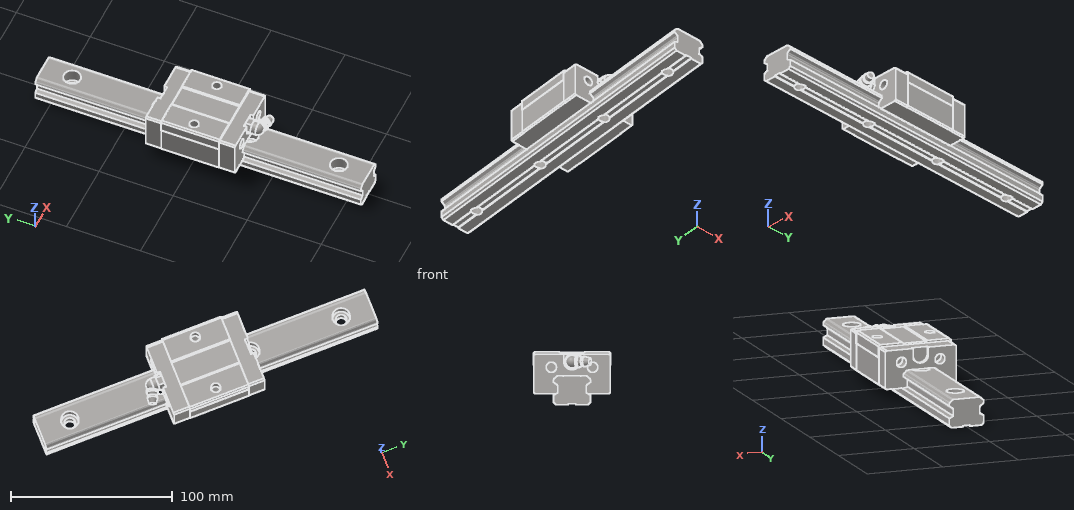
import cadquery as cq
import math


RAIL_LENGTH = 220.0
RAIL_HEIGHT = 18.0
RAIL_HALF_WIDTH = 11.5
RAIL_TOP_HALF_WIDTH = 9.0
WAIST_HALF_WIDTH = 8.8
RAIL_BOTTOM_CHAMFER = 1.5
BASE_TOP_Z = 6.2
WAIST_BOTTOM_Z = 7.5
WAIST_TOP_Z = 12.0
HEAD_LOWER_Z = 14.0
HEAD_UPPER_Z = 15.8
HEAD_FILLET = 1.0
WAIST_FILLET = 1.3
RELIEF_HALF_WIDTH = 2.2
RELIEF_DEPTH = 0.7
RAIL_HOLE_COUNT = 4
RAIL_HOLE_PITCH = 60.0
RAIL_HOLE_DIAMETER = 7.0
COUNTERBORE_DIAMETER = 11.0
COUNTERBORE_DEPTH = 9.0

OVERALL_HEIGHT = 33.0
CARRIAGE_BOTTOM_Z = 6.8
CARRIAGE_LENGTH = 60.3
BLOCK_LENGTH = 39.2
BLOCK_HALF_WIDTH = 24.0
BLOCK_CHAMFER = 1.0
SIDE_STEP_Z = 24.9
SIDE_STEP = 0.2
CAP_HALF_WIDTH = 23.5
CAP_TOP_Z = 31.5
CAP_CHAMFER_WIDTH = 1.3
CAP_CHAMFER_HEIGHT = 0.7
LOWER_CHAMFER = 0.9
PANEL_TOP_HALF_WIDTH = 8.4
PANEL_FLOOR_HALF_WIDTH = 7.5
PANEL_DEPTH = 0.5
TAPPED_HOLE_OFFSET = 17.4
TAPPED_HOLE_DIAMETER = 6.0
TAPPED_HOLE_DEPTH = 9.0
DRILL_TIP_ANGLE = 118.0
CAP_HOLE_OFFSET = 12.8
CAP_HOLE_Z = 23.3
CAP_HOLE_DIAMETER = 6.4
CAP_HOLE_DEPTH = 6.5

NIPPLE_Z = 26.8
RECESS_RADIUS = 5.0
RECESS_DEPTH = 2.0
HEX_ACROSS_CORNERS = 10.0
HEX_LENGTH = 4.0
COLLAR_RADIUS = 4.2
COLLAR_LENGTH = 3.3
BALL_RADIUS = 4.0
SPOUT_ANGLE = 20.0
SPOUT_NECK_RADIUS = 2.9
SPOUT_BARB_RADIUS = 3.7
SPOUT_TIP_BARB_RADIUS = 3.3
SPOUT_TIP_RADIUS = 2.2
BARB_START = 3.3
BARB_TAPER_START = 4.6
BARB_END = 6.5
TIP_BARB_START = 8.0
SPOUT_LENGTH = 11.9

CARRIAGE_FRONT_Y = -CARRIAGE_LENGTH / 2


def symmetric_prism(right_side, length):
    """Prism along Y, centred on the origin, from the +X half of its outline listed bottom to top."""
    left_side = [(-x, z) for x, z in reversed(right_side)]
    outline = cq.Workplane("XZ").polyline(right_side + left_side).close()
    return outline.extrude(length / 2, both=True)


def rail_blank():
    right_side = [
        (RELIEF_HALF_WIDTH, RELIEF_DEPTH),
        (RELIEF_HALF_WIDTH, 0),
        (RAIL_HALF_WIDTH - RAIL_BOTTOM_CHAMFER, 0),
        (RAIL_HALF_WIDTH, RAIL_BOTTOM_CHAMFER),
        (RAIL_HALF_WIDTH, BASE_TOP_Z),
        (WAIST_HALF_WIDTH, WAIST_BOTTOM_Z),
        (WAIST_HALF_WIDTH, WAIST_TOP_Z),
        (RAIL_HALF_WIDTH, HEAD_LOWER_Z),
        (RAIL_HALF_WIDTH, HEAD_UPPER_Z),
        (RAIL_TOP_HALF_WIDTH, RAIL_HEIGHT),
    ]
    rounded_corners = [
        (WAIST_HALF_WIDTH, WAIST_TOP_Z, WAIST_FILLET),
        (RAIL_HALF_WIDTH, HEAD_UPPER_Z, HEAD_FILLET),
        (RAIL_TOP_HALF_WIDTH, RAIL_HEIGHT, HEAD_FILLET),
    ]
    blank = symmetric_prism(right_side, RAIL_LENGTH)
    for x, z, radius in rounded_corners:
        for side in (-1, 1):
            corner_edge = cq.selectors.NearestToPointSelector((side * x, 0, z))
            blank = blank.edges("|Y").edges(corner_edge).fillet(radius)
    return blank


def make_rail():
    return (
        rail_blank()
        .faces(">Z")
        .workplane(origin=(0, 0, RAIL_HEIGHT))
        .rarray(2.2, RAIL_HOLE_PITCH, 1, RAIL_HOLE_COUNT)
        .cboreHole(RAIL_HOLE_DIAMETER, COUNTERBORE_DIAMETER, COUNTERBORE_DEPTH)
    )


def make_block():
    lower_half_width = BLOCK_HALF_WIDTH - SIDE_STEP
    right_side = [
        (lower_half_width - LOWER_CHAMFER, CARRIAGE_BOTTOM_Z),
        (lower_half_width, CARRIAGE_BOTTOM_Z + LOWER_CHAMFER),
        (lower_half_width, SIDE_STEP_Z),
        (BLOCK_HALF_WIDTH, SIDE_STEP_Z),
        (BLOCK_HALF_WIDTH, OVERALL_HEIGHT - BLOCK_CHAMFER),
        (BLOCK_HALF_WIDTH - BLOCK_CHAMFER, OVERALL_HEIGHT),
        (PANEL_TOP_HALF_WIDTH, OVERALL_HEIGHT),
        (PANEL_FLOOR_HALF_WIDTH, OVERALL_HEIGHT - PANEL_DEPTH),
    ]
    return symmetric_prism(right_side, BLOCK_LENGTH)


def make_cap_bar():
    """Bar of the end cap section, long enough to form both end caps."""
    right_side = [
        (CAP_HALF_WIDTH - LOWER_CHAMFER, CARRIAGE_BOTTOM_Z),
        (CAP_HALF_WIDTH, CARRIAGE_BOTTOM_Z + LOWER_CHAMFER),
        (CAP_HALF_WIDTH, CAP_TOP_Z - CAP_CHAMFER_HEIGHT),
        (CAP_HALF_WIDTH - CAP_CHAMFER_WIDTH, CAP_TOP_Z),
    ]
    return symmetric_prism(right_side, CARRIAGE_LENGTH)


def tapped_hole(x):
    """Blind hole with a conical drill tip, cut down from the top of the block."""
    radius = TAPPED_HOLE_DIAMETER / 2
    tip_length = radius / math.tan(math.radians(DRILL_TIP_ANGLE / 2))
    profile = [
        (0, 0),
        (-radius, 0),
        (-radius, -TAPPED_HOLE_DEPTH),
        (0, -TAPPED_HOLE_DEPTH - tip_length),
    ]
    drill = cq.Workplane("XZ").polyline(profile).close().revolve(360, (0, 0, 0), (0, 1, 0))
    return drill.translate((x, 0, OVERALL_HEIGHT))


def front_cap_cuts():
    """Nipple recess, open at the top, and the two blind holes of the front end cap."""
    face = cq.Workplane("XZ", origin=(0, CARRIAGE_FRONT_Y, 0))
    recess = (
        face.moveTo(-RECESS_RADIUS, CAP_TOP_Z)
        .lineTo(-RECESS_RADIUS, NIPPLE_Z)
        .threePointArc((0, NIPPLE_Z - RECESS_RADIUS), (RECESS_RADIUS, NIPPLE_Z))
        .lineTo(RECESS_RADIUS, CAP_TOP_Z)
        .close()
        .extrude(-RECESS_DEPTH)
    )
    holes = (
        face.pushPoints([(-CAP_HOLE_OFFSET, CAP_HOLE_Z), (CAP_HOLE_OFFSET, CAP_HOLE_Z)])
        .circle(CAP_HOLE_DIAMETER / 2)
        .extrude(-CAP_HOLE_DEPTH)
    )
    return recess.add(holes).combine()


def make_carriage():
    front_cuts = front_cap_cuts()
    carriage = make_block().union(make_cap_bar()).cut(rail_blank())
    carriage = carriage.cut(front_cuts).cut(front_cuts.mirror("XZ"))
    for side in (-1, 1):
        carriage = carriage.cut(tapped_hole(side * TAPPED_HOLE_OFFSET))
    return carriage


def make_spout():
    """Barbed spout along +X from the ball centre, before it is turned to its angle."""
    profile = [
        (0, 0),
        (0, SPOUT_NECK_RADIUS),
        (BARB_START, SPOUT_NECK_RADIUS),
        (BARB_START, SPOUT_BARB_RADIUS),
        (BARB_TAPER_START, SPOUT_BARB_RADIUS),
        (BARB_END, SPOUT_NECK_RADIUS),
        (TIP_BARB_START, SPOUT_NECK_RADIUS),
        (TIP_BARB_START, SPOUT_TIP_BARB_RADIUS),
        (SPOUT_LENGTH, SPOUT_TIP_RADIUS),
        (SPOUT_LENGTH, 0),
    ]
    return cq.Workplane("XY").polyline(profile).close().revolve(360, (0, 0, 0), (1, 0, 0))


def make_nipple():
    recess_floor_y = CARRIAGE_FRONT_Y + RECESS_DEPTH
    collar_y = recess_floor_y - HEX_LENGTH
    ball_center = (0, collar_y - COLLAR_LENGTH, NIPPLE_Z)
    hexagon = (
        cq.Workplane("XZ", origin=(0, recess_floor_y, NIPPLE_Z))
        .polygon(6, HEX_ACROSS_CORNERS)
        .extrude(HEX_LENGTH)
    )
    collar = (
        cq.Workplane("XZ", origin=(0, collar_y, NIPPLE_Z))
        .circle(COLLAR_RADIUS)
        .extrude(COLLAR_LENGTH)
    )
    ball = cq.Workplane("XY").sphere(BALL_RADIUS).translate(ball_center)
    spout = make_spout().rotate((0, 0, 0), (0, 0, 1), -SPOUT_ANGLE).translate(ball_center)
    return hexagon.union(collar).union(ball).union(spout)


rail = make_rail()
carriage = make_carriage()
nipple = make_nipple()

result = cq.Compound.makeCompound([rail.val(), carriage.val(), nipple.val()])